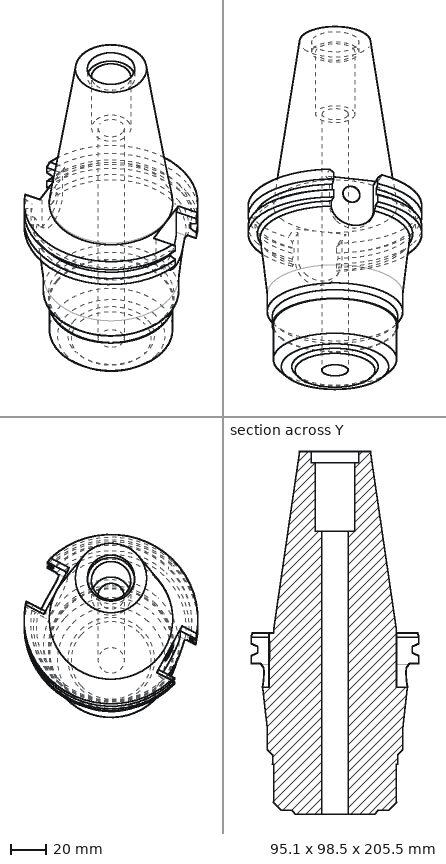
import cadquery as cq

total_height = 205.5
flange_radius = 98.5 / 2
flange_top = 102.8
flange_bottom = 85.3

taper_base_radius = 35.0
taper_base = flange_top + 1.5
taper_ratio = 7 / 24
taper_tip_radius = taper_base_radius - (total_height - taper_base) * taper_ratio / 2

groove_radius = 45.6
groove_top = 95.0
groove_bottom = 91.5
groove_flank_height = 1.6

neck_radius = 42.4
neck_top = 82.9
neck_flare = 1.6
body_radius = 38.5
body_top = 48.1
body_bottom = 36.5
body_chamfer = 2.9

collar_radius = body_radius - body_chamfer
collar_bottom = 28.4
nut_radius = 35.0
nut_chamfer_height = 6.8
nut_face_radius = 30.5
nose_height = 2.3
nose_base_radius = 24.5
nose_radius = 22.6

through_radius = 7.5
thread_radius = 11.0
thread_depth = 45.2
counterbore_radius = 13.4
counterbore_depth = 6.4

slot_width = 25.7
slot_chamfer = 2.5
slot_center_z = 85.0
left_slot_floor = 37.5
right_slot_floor = 35.0

chip_seat_radius = 5.0
chip_seat_depth = 0.2
chip_seat_z = 93.1


def make_body():
    """Revolve the outer profile about the Z axis, from the nose upwards."""
    profile = [
        (0, 0),
        (nose_radius, 0),
        (nose_base_radius, nose_height),
        (nut_face_radius, nose_height),
        (nut_radius, nut_chamfer_height),
        (nut_radius, collar_bottom),
        (collar_radius, collar_bottom),
        (collar_radius, body_bottom - body_chamfer),
        (body_radius, body_bottom),
        (body_radius, body_top),
        (neck_radius, neck_top),
        (neck_radius + neck_flare, flange_bottom),
        (flange_radius, flange_bottom),
        (flange_radius, groove_bottom - groove_flank_height),
        (groove_radius, groove_bottom),
        (groove_radius, groove_top),
        (flange_radius, groove_top + groove_flank_height),
        (flange_radius, flange_top),
        (taper_base_radius, flange_top),
        (taper_base_radius, taper_base),
        (taper_tip_radius, total_height),
        (0, total_height),
    ]
    return cq.Workplane("XZ").polyline(profile).close().revolve(360, (0, 0), (0, 1))


def axial_hole(radius, depth):
    """Cylinder reaching down from the shank tip."""
    return cq.Workplane("XY").workplane(offset=total_height - depth).circle(radius).extrude(depth)


def drive_slot(floor, side):
    """Round-bottomed slot with chamfered mouth; side is -1 or +1 along X."""
    half_width = slot_width / 2
    mouth_half_width = half_width + slot_chamfer
    return (
        cq.Workplane("YZ", origin=(side * floor, 0, 0))
        .moveTo(-half_width, slot_center_z)
        .threePointArc((0, slot_center_z - half_width), (half_width, slot_center_z))
        .lineTo(half_width, flange_top - slot_chamfer)
        .lineTo(mouth_half_width, flange_top)
        .lineTo(-mouth_half_width, flange_top)
        .lineTo(-half_width, flange_top - slot_chamfer)
        .close()
        .extrude(side * flange_radius)
    )


def chip_seat():
    """Shallow round recess running inwards from the -X slot floor."""
    return (
        cq.Workplane("YZ", origin=(-left_slot_floor, 0, 0))
        .center(0, chip_seat_z)
        .circle(chip_seat_radius)
        .extrude(chip_seat_depth)
    )


result = make_body()
for radius, depth in (
    (through_radius, total_height),
    (thread_radius, thread_depth),
    (counterbore_radius, counterbore_depth),
):
    result = result.cut(axial_hole(radius, depth))
for floor, side in ((left_slot_floor, -1), (right_slot_floor, 1)):
    result = result.cut(drive_slot(floor, side))
result = result.cut(chip_seat())